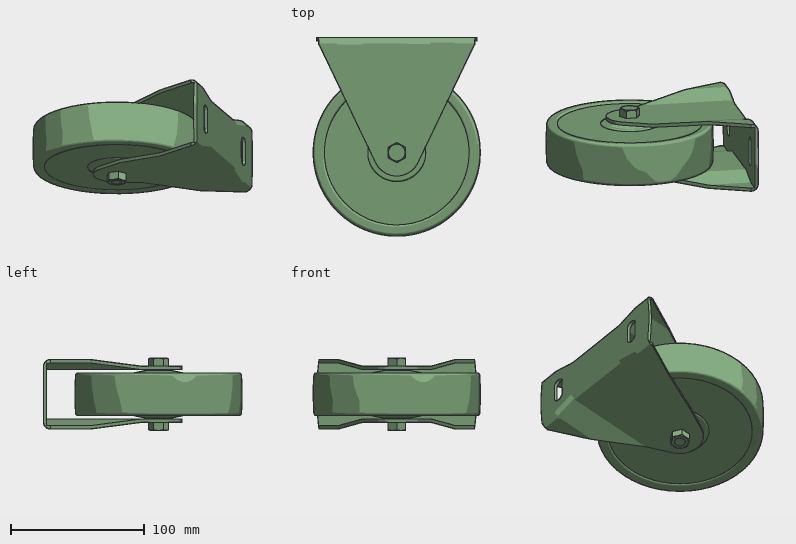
import cadquery as cq
import math


OVERALL_HEIGHT = 54.2

WHEEL_DIAMETER = 125.0
TYRE_WIDTH = 31.9
TREAD_CROWN = 0.5
TYRE_CORNER_RADIUS = 2.1
TYRE_BORE_RADIUS = 53.7

WEB_RECESS = 1.0
HUB_FACE_RADIUS = 20.6
HUB_CONE_BASE_RADIUS = 18.5
HUB_CONE_HEIGHT = 1.8
HUB_CONE_TOP_RADIUS = 10.1
HUB_END_DIAMETER = 19.5

BOLT_DIAMETER = 8.0
HEX_ACROSS_FLATS = 13.0
HEX_CHAMFER_DIAMETER = 12.5
HEX_CHAMFER_ANGLE = 30

SHEET = 2.5
FORK_BACK_Y = 86.0
FORK_AXLE_HALF_HEIGHT = 21.0
FORK_WING_HALF_HEIGHT = 26.0
BEND_START_X = 25.2
BEND_END_X = 43.6
BEND_RADIUS = 4.5
BACK_CORNER_RADIUS = 5.3
WING_HALF_WIDTH = 58.0
BACK_HALF_WIDTH = 59.8
FORK_TIP_RADIUS = 17.5
SLOT_WIDTH = 8.5
SLOT_LENGTH = 21.7
SLOT_X = 40.4

TYRE_FACE_Z = TYRE_WIDTH / 2
HUB_END_Z = FORK_AXLE_HALF_HEIGHT - SHEET
HEX_HEIGHT = OVERALL_HEIGHT / 2 - FORK_AXLE_HALF_HEIGHT


def channel_block(inset, front_y, back_y, rounds_wings):
    """Block along Y whose top and bottom follow the fork plates, inset from their outside.

    The wing bends are rounded if rounds_wings is true, otherwise the bends nearer the axle.
    """
    half_width = BACK_HALF_WIDTH + SHEET
    bend_angle = math.atan2(FORK_WING_HALF_HEIGHT - FORK_AXLE_HALF_HEIGHT, BEND_END_X - BEND_START_X)
    corner_shift = inset * math.tan(bend_angle / 2)
    low_x = BEND_START_X + corner_shift
    high_x = BEND_END_X + corner_shift
    low_z = FORK_AXLE_HALF_HEIGHT - inset
    high_z = FORK_WING_HALF_HEIGHT - inset
    upper = [(-half_width, high_z), (-high_x, high_z), (-low_x, low_z)]
    upper += [(-x, z) for x, z in reversed(upper)]
    lower = [(x, -z) for x, z in reversed(upper)]
    block = (
        cq.Workplane("XZ", origin=(0, back_y, 0))
        .polyline(upper + lower)
        .close()
        .extrude(back_y - front_y)
    )
    bend_x, bend_z = (high_x, high_z) if rounds_wings else (low_x, low_z)
    reach = SHEET / 10
    for side in (-1, 1):
        for level in (-1, 1):
            bend = cq.selectors.BoxSelector(
                (side * bend_x - reach, front_y - reach, level * bend_z - reach),
                (side * bend_x + reach, back_y + reach, level * bend_z + reach),
            )
            block = block.edges("|Y").edges(bend).fillet(BEND_RADIUS)
    return block


def fork_plan():
    """Plan outline: plates tapering from the back corners to a round tip about the axle."""
    taper_y = FORK_BACK_Y - BACK_CORNER_RADIUS
    corner_distance = math.hypot(WING_HALF_WIDTH, taper_y)
    taper_angle = math.atan2(WING_HALF_WIDTH, taper_y) - math.asin(FORK_TIP_RADIUS / corner_distance)
    tangent_x = FORK_TIP_RADIUS * math.cos(taper_angle)
    tangent_y = -FORK_TIP_RADIUS * math.sin(taper_angle)
    back_x = BACK_HALF_WIDTH + SHEET
    return (
        cq.Workplane("XY", origin=(0, 0, -FORK_WING_HALF_HEIGHT))
        .moveTo(tangent_x, tangent_y)
        .lineTo(WING_HALF_WIDTH, taper_y)
        .lineTo(back_x, taper_y)
        .lineTo(back_x, FORK_BACK_Y)
        .lineTo(-back_x, FORK_BACK_Y)
        .lineTo(-back_x, taper_y)
        .lineTo(-WING_HALF_WIDTH, taper_y)
        .lineTo(-tangent_x, tangent_y)
        .threePointArc((0, -FORK_TIP_RADIUS), (tangent_x, tangent_y))
        .close()
        .extrude(2 * FORK_WING_HALF_HEIGHT)
    )


def bulged_ends():
    """Block along Y with side faces that bulge outward at mid-height."""
    x, z = WING_HALF_WIDTH, FORK_WING_HALF_HEIGHT
    return (
        cq.Workplane("XZ", origin=(0, FORK_BACK_Y, 0))
        .moveTo(-x, z)
        .lineTo(x, z)
        .threePointArc((BACK_HALF_WIDTH, 0), (x, -z))
        .lineTo(-x, -z)
        .threePointArc((-BACK_HALF_WIDTH, 0), (-x, z))
        .close()
        .extrude(FORK_BACK_Y + FORK_TIP_RADIUS)
    )


def make_fork():
    front_y = -FORK_TIP_RADIUS
    outside = channel_block(0, front_y, FORK_BACK_Y, rounds_wings=True)
    outside = outside.faces(">Y").edges("not |Z").fillet(BACK_CORNER_RADIUS)
    inside = channel_block(SHEET, front_y, FORK_BACK_Y - SHEET, rounds_wings=False)
    bolt_hole = cq.Workplane("XY").circle(BOLT_DIAMETER / 2).extrude(FORK_AXLE_HALF_HEIGHT, both=True)
    slots = (
        cq.Workplane("XZ", origin=(0, FORK_BACK_Y, 0))
        .pushPoints([(-SLOT_X, 0), (SLOT_X, 0)])
        .slot2D(SLOT_LENGTH, SLOT_WIDTH, 90)
        .extrude(SHEET)
    )
    sheet = outside.cut(inside).intersect(fork_plan()).intersect(bulged_ends())
    return sheet.cut(bolt_hole).cut(slots)


def make_tyre():
    """Ring with a crowned tread and rounded corners."""
    radius = TYRE_CORNER_RADIUS
    tread_edge = WHEEL_DIAMETER / 2 - TREAD_CROWN
    corner_z = TYRE_FACE_Z - radius
    corner_inset = radius * (1 - math.sqrt(0.5))
    inner_mid = TYRE_BORE_RADIUS + corner_inset
    outer_mid = tread_edge - corner_inset
    mid_z = TYRE_FACE_Z - corner_inset
    return (
        cq.Workplane("XZ")
        .moveTo(TYRE_BORE_RADIUS, -corner_z)
        .lineTo(TYRE_BORE_RADIUS, corner_z)
        .threePointArc((inner_mid, mid_z), (TYRE_BORE_RADIUS + radius, TYRE_FACE_Z))
        .lineTo(tread_edge - radius, TYRE_FACE_Z)
        .threePointArc((outer_mid, mid_z), (tread_edge, corner_z))
        .threePointArc((WHEEL_DIAMETER / 2, 0), (tread_edge, -corner_z))
        .threePointArc((outer_mid, -mid_z), (tread_edge - radius, -TYRE_FACE_Z))
        .lineTo(TYRE_BORE_RADIUS + radius, -TYRE_FACE_Z)
        .threePointArc((inner_mid, -mid_z), (TYRE_BORE_RADIUS, -corner_z))
        .close()
        .revolve(360, (0, 0, 0), (0, 1, 0))
    )


def make_core(tyre):
    """Web that fills the tyre, with a conical hub and a bearing shoulder on both faces."""
    web_z = TYRE_FACE_Z - WEB_RECESS
    cone_top_z = TYRE_FACE_Z + HUB_CONE_HEIGHT
    hub_arc = WEB_RECESS * math.sqrt(0.5)
    bore_radius = BOLT_DIAMETER / 2
    shoulder_radius = HUB_END_DIAMETER / 2
    upper_half = (
        cq.Workplane("XZ")
        .moveTo(bore_radius, 0)
        .lineTo(bore_radius, HUB_END_Z)
        .lineTo(shoulder_radius, HUB_END_Z)
        .lineTo(shoulder_radius, cone_top_z)
        .lineTo(HUB_CONE_TOP_RADIUS, cone_top_z)
        .lineTo(HUB_CONE_BASE_RADIUS, TYRE_FACE_Z)
        .lineTo(HUB_FACE_RADIUS, TYRE_FACE_Z)
        .threePointArc(
            (HUB_FACE_RADIUS + hub_arc, web_z + hub_arc),
            (HUB_FACE_RADIUS + WEB_RECESS, web_z),
        )
        .lineTo(TYRE_BORE_RADIUS + TYRE_CORNER_RADIUS, web_z)
        .lineTo(TYRE_BORE_RADIUS + TYRE_CORNER_RADIUS, 0)
        .close()
        .revolve(360, (0, 0, 0), (0, 1, 0))
    )
    return upper_half.union(upper_half.mirror("XY")).cut(tyre)


def hex_block():
    """Hexagon standing on the upper fork plate, corners at +Y and -Y, top corners chamfered."""
    across_corners = HEX_ACROSS_FLATS / math.cos(math.pi / 6)
    outer_radius = across_corners / 2
    chamfer_radius = HEX_CHAMFER_DIAMETER / 2
    chamfer_drop = (outer_radius - chamfer_radius) * math.tan(math.radians(HEX_CHAMFER_ANGLE))
    hexagon = (
        cq.Workplane("XY", origin=(0, 0, FORK_AXLE_HALF_HEIGHT))
        .transformed(rotate=(0, 0, 90))
        .polygon(6, across_corners)
        .extrude(HEX_HEIGHT)
    )
    chamfer_envelope = (
        cq.Workplane("XZ")
        .moveTo(0, FORK_AXLE_HALF_HEIGHT)
        .lineTo(outer_radius, FORK_AXLE_HALF_HEIGHT)
        .lineTo(outer_radius, OVERALL_HEIGHT / 2 - chamfer_drop)
        .lineTo(chamfer_radius, OVERALL_HEIGHT / 2)
        .lineTo(0, OVERALL_HEIGHT / 2)
        .close()
        .revolve(360, (0, 0, 0), (0, 1, 0))
    )
    return hexagon.intersect(chamfer_envelope)


def bolt_shank():
    """Shank from the underside of the head to the outer face of the nut."""
    return (
        cq.Workplane("XY", origin=(0, 0, FORK_AXLE_HALF_HEIGHT))
        .circle(BOLT_DIAMETER / 2)
        .extrude(-FORK_AXLE_HALF_HEIGHT - OVERALL_HEIGHT / 2)
    )


def make_bolt():
    return hex_block().union(bolt_shank())


def make_nut():
    return hex_block().mirror("XY").cut(bolt_shank())


fork = make_fork()
tyre = make_tyre()
core = make_core(tyre)
bolt = make_bolt()
nut = make_nut()

bodies = [fork, tyre, core, bolt, nut]
result = cq.Compound.makeCompound([body.solids().val() for body in bodies])